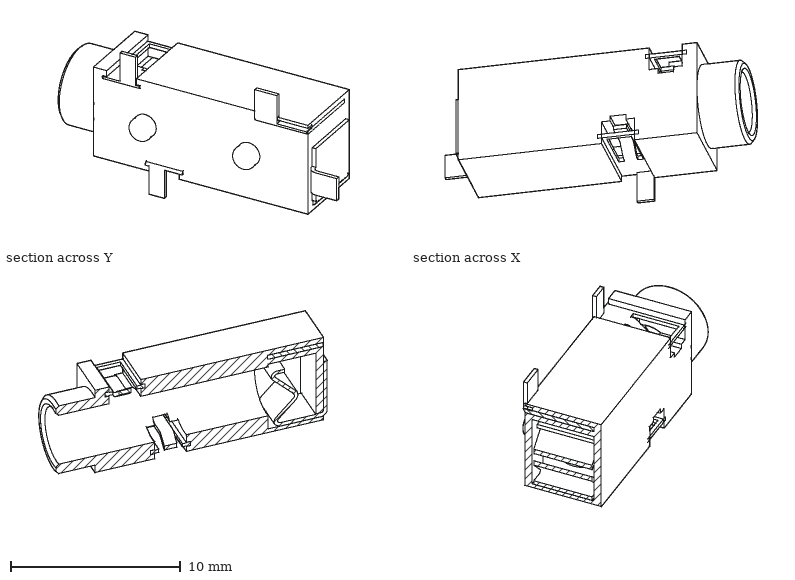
import cadquery as cq
import math


nozzle_length = 2.5
nozzle_diameter = 5.0
bore_diameter = 3.6
edge_chamfer = 0.2
body_length = 14.5
body_width = 5.0
body_height = 6.0
body_end = nozzle_length + body_length
front_face = -body_width / 2
back_face = body_width / 2
top_face = body_height / 2

peg_positions = (6.0, 13.0)
peg_diameter = 1.5
peg_height = 0.8
peg_rounding = 0.25

sheet = 0.25
solder_plane = front_face - 0.1
plate_top = 2.6
plate_bottom = plate_top - sheet
tab_reach = 4.5

sleeve_center = 4.4
sleeve_length = 2.5
sleeve_pitch = 2.9
sleeve_back = back_face - 0.05
sleeve_tab_width = 1.05
channel_width = 2.0
channel_start = sleeve_center - channel_width / 2
channel_end = sleeve_center + channel_width / 2
window_width = 1.5
window_front = -0.77
window_back = 2.2

finger_width = 0.8
finger_lead = 0.12
finger_angle = 41.0
finger_drop = 0.71
finger_first_radius = 0.375
finger_second_radius = 0.5
finger_tip = 1.98

well_front = -0.47
well_floor = 1.56
finger_slot_width = 0.95
finger_slot_floor = 1.25

rear_start = 13.45
rear_length = body_end - 0.05 - rear_start
rear_tab_width = 1.5
rear_contact_back = 2.0
rear_gap_height = 0.2
rear_gap_depth = 0.5

terminal_top = 1.25
terminal_bottom = -2.3
terminal_back = 2.05
foot_top = 0.0
foot_width = 1.5
foot_end = 19.0
foot_bend_radius = 0.6 - sheet / 2
spring_width = 3.8
spring_base_radius = 0.275
spring_base_length = 2.6
spring_ramp_angle = 45.0
spring_ramp_length = 1.55
spring_valley_radius = 0.375
spring_rise_angle = 135.0
spring_rise_length = 1.82
spring_nose_radius = 0.24
spring_end_length = 0.5

cavity_start = 13.5
cavity_end = 16.5
cavity_width = 4.0
cavity_top = 1.95
cavity_bottom = terminal_bottom - spring_base_radius - sheet / 2


def block(x_range, y_range, z_range):
    """Box between the given limits."""
    size = [high - low for low, high in (x_range, y_range, z_range)]
    corner = (x_range[0], y_range[0], z_range[0])
    return cq.Workplane("XY").box(*size, centered=False).translate(corner)


def beside(point, angle, distance):
    """Point at a distance to the left of a path that heads along angle (degrees)."""
    turn = math.radians(angle + 90)
    return (point[0] + distance * math.cos(turn), point[1] + distance * math.sin(turn))


def bent_strip(plane, start, heading, steps):
    """Outline of a bent sheet; steps are ("line", length) or ("bend", turn in degrees, middle radius)."""
    half = sheet / 2
    point = start
    left_side = [beside(point, heading, half)]
    right_side = [beside(point, heading, -half)]
    arc_middles = []
    for step in steps:
        if step[0] == "line":
            direction = math.radians(heading)
            point = (point[0] + step[1] * math.cos(direction), point[1] + step[1] * math.sin(direction))
            arc_middles.append(None)
        else:
            turn, radius = step[1], math.copysign(step[2], step[1])
            center = beside(point, heading, radius)
            middle_heading = heading + turn / 2
            arc_middles.append(
                (
                    beside(center, middle_heading, half - radius),
                    beside(center, middle_heading, -half - radius),
                )
            )
            heading += turn
            point = beside(center, heading, -radius)
        left_side.append(beside(point, heading, half))
        right_side.append(beside(point, heading, -half))

    outline = cq.Workplane(plane).moveTo(*left_side[0])
    for end, middles in zip(left_side[1:], arc_middles):
        outline = outline.threePointArc(middles[0], end) if middles else outline.lineTo(*end)
    outline = outline.lineTo(*right_side[-1])
    for end, middles in zip(reversed(right_side[:-1]), reversed(arc_middles)):
        outline = outline.threePointArc(middles[1], end) if middles else outline.lineTo(*end)
    return outline.close()


def turned_to_bottom(shape):
    """Half turn about the Y direction, carrying the top sleeve contact features to the bottom."""
    pivot_x = sleeve_center + sleeve_pitch / 2
    return shape.rotate((pivot_x, 0, 0), (pivot_x, 1, 0), 180)


def plate_with_tab(start, length, back, tab_start, tab_width):
    """Flat plate under the top face, rolled up at the front edge into a narrower solder tab."""
    bend_line = solder_plane + sheet
    plate = (
        cq.Workplane("YZ", origin=(start, 0, 0))
        .moveTo(back, plate_top)
        .lineTo(solder_plane, plate_top)
        .radiusArc((bend_line, plate_bottom), -sheet)
        .lineTo(back, plate_bottom)
        .close()
        .extrude(length)
    )
    tab = block((tab_start, tab_start + tab_width), (solder_plane, bend_line), (plate_top, tab_reach))
    return plate.union(tab)


def make_sleeve_contact():
    contact = plate_with_tab(
        sleeve_center - sleeve_length / 2,
        sleeve_length,
        sleeve_back,
        channel_end - sleeve_tab_width,
        sleeve_tab_width,
    )
    window = block(
        (sleeve_center - window_width / 2, sleeve_center + window_width / 2),
        (window_front, window_back),
        (plate_bottom, plate_top),
    )
    slope = math.radians(finger_angle)
    bend_radii = finger_first_radius + finger_second_radius
    ramp_length = (finger_drop - bend_radii * (1 - math.cos(slope))) / math.sin(slope)
    ramp_run = bend_radii * math.sin(slope) + ramp_length * math.cos(slope)
    finger = bent_strip(
        cq.Plane.YZ(origin=(sleeve_center - finger_width / 2, 0, 0)),
        (window_front, plate_top - sheet / 2),
        0,
        [
            ("line", finger_lead),
            ("bend", -finger_angle, finger_first_radius),
            ("line", ramp_length),
            ("bend", finger_angle, finger_second_radius),
            ("line", finger_tip - window_front - finger_lead - ramp_run),
        ],
    ).extrude(finger_width)
    return contact.cut(window).union(finger)


def make_rear_contact():
    return plate_with_tab(rear_start, rear_length, rear_contact_back, rear_start, rear_tab_width)


def make_tip_terminal():
    foot_bend_start = solder_plane + sheet / 2 + foot_bend_radius
    plate = block(
        (body_end, body_end + sheet),
        (foot_bend_start, terminal_back),
        (terminal_bottom, terminal_top),
    )
    foot = bent_strip(
        cq.Plane.XY(origin=(0, 0, foot_top - foot_width)),
        (body_end + sheet / 2, foot_bend_start),
        -90,
        [
            ("bend", 90, foot_bend_radius),
            ("line", foot_end - body_end - sheet / 2 - foot_bend_radius),
        ],
    ).extrude(foot_width)
    spring = bent_strip(
        "XZ",
        (body_end + sheet / 2, terminal_bottom),
        -90,
        [
            ("bend", -90, spring_base_radius),
            ("line", spring_base_length),
            ("bend", spring_ramp_angle - 180, spring_base_radius),
            ("line", spring_ramp_length),
            ("bend", spring_rise_angle - spring_ramp_angle, spring_valley_radius),
            ("line", spring_rise_length),
            ("bend", -spring_rise_angle, spring_nose_radius),
            ("line", spring_end_length),
        ],
    ).extrude(spring_width / 2, both=True)
    return plate.union(foot).union(spring)


def make_sleeve_recess():
    """Channel across the top face, room for the plate, well under the window and finger slot."""
    channel = block((channel_start, channel_end), (front_face, back_face), (plate_top, top_face))
    plate_space = block((channel_start, channel_end), (window_front, back_face), (plate_bottom, plate_top))
    well = block((channel_start, channel_end), (well_front, back_face), (well_floor, plate_bottom))
    finger_slot = block(
        (sleeve_center - finger_slot_width / 2, sleeve_center + finger_slot_width / 2),
        (0, back_face),
        (finger_slot_floor, well_floor),
    )
    return channel.union(plate_space).union(well).union(finger_slot)


def make_housing(contacts):
    nozzle = (
        cq.Workplane("YZ")
        .circle(nozzle_diameter / 2)
        .extrude(nozzle_length)
        .faces("<X")
        .chamfer(edge_chamfer)
    )
    body = block((nozzle_length, body_end), (front_face, back_face), (-top_face, top_face))
    housing = body.union(nozzle)

    housing = housing.cut(cq.Workplane("YZ").circle(bore_diameter / 2).extrude(cavity_start))
    mouth = cq.Solid.makeCone(
        bore_diameter / 2 + edge_chamfer,
        bore_diameter / 2,
        edge_chamfer,
        dir=cq.Vector(1, 0, 0),
    )
    housing = housing.cut(cq.Workplane(mouth))
    cavity = block(
        (cavity_start, cavity_end),
        (-cavity_width / 2, cavity_width / 2),
        (cavity_bottom, cavity_top),
    )
    housing = housing.cut(cavity)

    recess = make_sleeve_recess()
    housing = housing.cut(recess).cut(turned_to_bottom(recess))

    rear_gap = block(
        (rear_start + rear_tab_width, body_end),
        (front_face, front_face + rear_gap_depth),
        (plate_top, plate_top + rear_gap_height),
    )
    housing = housing.cut(rear_gap)

    for contact in contacts:
        housing = housing.cut(contact)

    for peg_x in peg_positions:
        peg = (
            cq.Workplane("XZ", origin=(peg_x, front_face, 0))
            .circle(peg_diameter / 2)
            .extrude(peg_height)
            .faces("<Y")
            .edges()
            .fillet(peg_rounding)
        )
        housing = housing.union(peg)
    return housing


top_sleeve_contact = make_sleeve_contact()
bottom_sleeve_contact = turned_to_bottom(top_sleeve_contact)
rear_contact = make_rear_contact()
tip_terminal = make_tip_terminal()
metal_parts = [top_sleeve_contact, bottom_sleeve_contact, rear_contact, tip_terminal]
housing = make_housing(metal_parts)

bodies = [housing, *metal_parts]
result = cq.Compound.makeCompound([body.solids().val() for body in bodies])